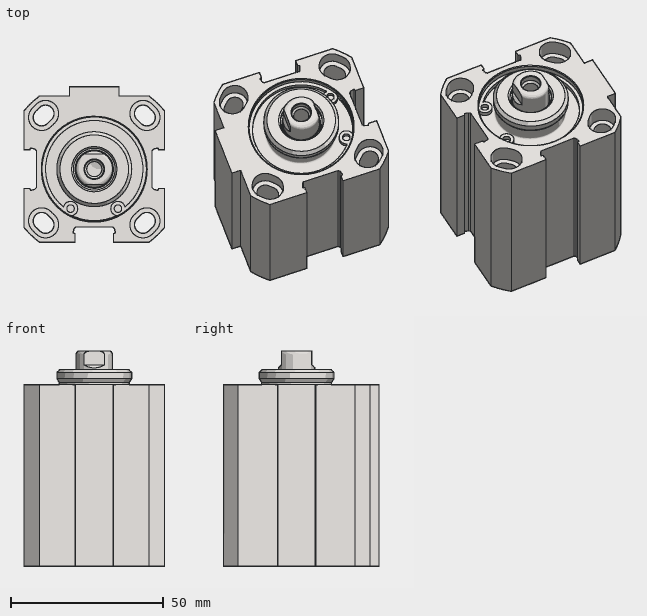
import cadquery as cq
import math


total_height = 70.5
housing_height = 59.4

housing_width = 46.0
half_width = housing_width / 2
half_depth = 24.0
corner_radius = 29.9
tab_width = 16.3
tab_reach = 27.0

slot_half_width = 6.3
slot_floor_half_width = 6.05
side_slot_depth = 4.0
front_slot_depth = 5.0
undercut_peak_half_width = 6.9
undercut_corner_half_width = 6.55
lip_above_floor = 2.1
undercut_peak_above_floor = 1.8
undercut_corner_above_floor = 0.5

mount_x = 16.6
mount_y = 17.55
mount_centre_distance = 1.75
mount_hole_diameter = 5.5
mount_counterbore_diameter = 8.6
mount_counterbore_depth = 5.8

recess_diameter = 34.1
recess_chamfer = 0.3
ring_diameter = 35.8
ring_inner_diameter = 31.9
ring_thickness = 1.5
ring_top_z = housing_height - 2.0
ring_bottom_z = ring_top_z - ring_thickness
ear_diameter = 4.7
ear_hole_diameter = 2.5
ear_x = 7.75
ear_y = -12.9

flange_diameter = 33.7
flange_thickness = 7.05
flange_bottom_z = ring_bottom_z - flange_thickness
neck_diameter = 23.0
neck_fillet = 0.5
neck_top_z = housing_height + 0.7
rim_diameter = 24.5
rim_lower_z = housing_height + 2.0
rim_top_z = housing_height + 5.0
rim_chamfer = 1.05
collar_bore_chamfer = 0.55
collar_bore_steps = [(13.7, 1.75), (12.55, 2.5)]

rod_diameter = 12.0
rod_fillet = 1.3
flats_width = 9.95
flats_length = 4.6
rod_mouth_chamfer = 0.2
rod_counterbore_diameter = 6.3
rod_counterbore_depth = 2.1
rod_drill_diameter = 4.9
rod_drill_depth = 14.1
drill_point_half_angle = 80.0


def cylinder(diameter, bottom, top):
    """Cylinder on the main axis between two heights."""
    return cq.Workplane("XY").workplane(offset=bottom).circle(diameter / 2).extrude(top - bottom)


def countersink(diameter, chamfer, top):
    """45 degree cone cutter that chamfers the mouth of a round hole at height top."""
    inner_r = diameter / 2
    points = [(0, top), (inner_r + chamfer, top), (inner_r, top - chamfer), (0, top - chamfer)]
    return cq.Workplane("XZ").polyline(points).close().revolve(360, (0, 0, 0), (0, 1, 0))


def housing_block():
    """Prism whose four corners follow one large circle, plus the tab on the +Y side."""
    block = cq.Workplane("XY").rect(housing_width, 2 * half_depth).extrude(housing_height)
    block = block.intersect(cylinder(2 * corner_radius, 0, housing_height))
    tab = cq.Workplane("XY").center(0, tab_reach / 2).rect(tab_width, tab_reach).extrude(housing_height)
    return block.union(tab)


def sensor_slot(side_distance, depth, angle):
    """Full-height slot cutter; at angle 0 it opens to -Y at side_distance from the axis."""
    half_profile = [
        (slot_half_width, -depth),
        (slot_half_width, -lip_above_floor),
        (undercut_peak_half_width, -undercut_peak_above_floor),
        (undercut_corner_half_width, -undercut_corner_above_floor),
        (slot_floor_half_width, 0),
    ]
    floor_y = depth - side_distance
    right = [(x, floor_y + y) for x, y in half_profile]
    left = [(-x, y) for x, y in reversed(right)]
    slot = cq.Workplane("XY").polyline(right + left).close().extrude(housing_height)
    return slot.rotate((0, 0, 0), (0, 0, 1), angle)


def mounting_slot(side_x, side_y):
    """Counterbored slot cutter in one corner, long across that corner's diagonal."""
    angle = -45 * side_x * side_y

    def slot(diameter, bottom):
        plane = cq.Workplane("XY").workplane(offset=bottom).center(side_x * mount_x, side_y * mount_y)
        return plane.slot2D(mount_centre_distance + diameter, diameter, angle).extrude(housing_height - bottom)

    counterbore = slot(mount_counterbore_diameter, housing_height - mount_counterbore_depth)
    return slot(mount_hole_diameter, 0).union(counterbore)


def make_housing():
    housing = housing_block()
    housing = housing.cut(sensor_slot(half_depth, front_slot_depth, 0))
    for angle in (-90, 90):
        housing = housing.cut(sensor_slot(half_width, side_slot_depth, angle))
    for side_x in (-1, 1):
        for side_y in (-1, 1):
            housing = housing.cut(mounting_slot(side_x, side_y))
    recess = cylinder(recess_diameter, flange_bottom_z, housing_height)
    mouth = countersink(recess_diameter, recess_chamfer, housing_height)
    ring_groove = cylinder(ring_diameter, ring_bottom_z, ring_top_z)
    return housing.cut(recess).cut(mouth).cut(ring_groove)


def make_retaining_ring():
    """Open ring whose two ends are round ears with plier holes."""
    plane = cq.Workplane("XY").workplane(offset=ring_bottom_z)
    ring = plane.circle(ring_diameter / 2).circle(ring_inner_diameter / 2).extrude(ring_thickness)
    gap_scale = ring_diameter / math.hypot(ear_x, ear_y)
    gap_points = [(0, 0), (-ear_x * gap_scale, ear_y * gap_scale), (ear_x * gap_scale, ear_y * gap_scale)]
    ring = ring.cut(plane.polyline(gap_points).close().extrude(ring_thickness))
    ear_points = [(-ear_x, ear_y), (ear_x, ear_y)]
    ears = plane.pushPoints(ear_points).circle(ear_diameter / 2).extrude(ring_thickness)
    ears = ears.intersect(cylinder(ring_diameter, ring_bottom_z, ring_top_z))
    ear_holes = plane.pushPoints(ear_points).circle(ear_hole_diameter / 2).extrude(ring_thickness)
    return ring.union(ears).cut(ear_holes)


def collar_blank():
    """Turned outside of the collar: flange below the ring, filleted neck and chamfered rim."""
    rim_r = rim_diameter / 2
    neck_r = neck_diameter / 2
    flange_r = flange_diameter / 2
    fillet_inset = neck_fillet * (1 - math.sqrt(0.5))
    fillet_middle = (neck_r + fillet_inset, ring_bottom_z + fillet_inset)
    profile = (
        cq.Workplane("XZ")
        .moveTo(0, flange_bottom_z)
        .lineTo(flange_r, flange_bottom_z)
        .lineTo(flange_r, ring_bottom_z)
        .lineTo(neck_r + neck_fillet, ring_bottom_z)
        .threePointArc(fillet_middle, (neck_r, ring_bottom_z + neck_fillet))
        .lineTo(neck_r, neck_top_z)
        .lineTo(rim_r, rim_lower_z)
        .lineTo(rim_r, rim_top_z - rim_chamfer)
        .lineTo(rim_r - rim_chamfer, rim_top_z)
        .lineTo(0, rim_top_z)
        .close()
    )
    return profile.revolve(360, (0, 0, 0), (0, 1, 0))


def make_collar():
    """Collar with a countersunk bore that steps down to the rod."""
    collar = collar_blank().cut(cylinder(rod_diameter, flange_bottom_z, rim_top_z))
    for diameter, depth in collar_bore_steps:
        collar = collar.cut(cylinder(diameter, rim_top_z - depth, rim_top_z))
    mouth_diameter = collar_bore_steps[0][0]
    return collar.cut(countersink(mouth_diameter, collar_bore_chamfer, rim_top_z))


def rod_hole():
    """Chamfered and counterbored drill hole from the rod end, with conical transitions."""
    wide_r = rod_counterbore_diameter / 2
    drill_r = rod_drill_diameter / 2
    wide_bottom_z = total_height - rod_counterbore_depth
    drill_bottom_z = total_height - rod_drill_depth
    point_length = drill_r / math.tan(math.radians(drill_point_half_angle))
    points = [
        (0, total_height),
        (wide_r + rod_mouth_chamfer, total_height),
        (wide_r, total_height - rod_mouth_chamfer),
        (wide_r, wide_bottom_z),
        (drill_r, wide_bottom_z - (wide_r - drill_r)),
        (drill_r, drill_bottom_z),
        (0, drill_bottom_z - point_length),
    ]
    return cq.Workplane("XZ").polyline(points).close().revolve(360, (0, 0, 0), (0, 1, 0))


def wrench_flat():
    """Cutter for the -Y wrench flat, which runs out through a 45 degree shoulder."""
    flat_y = -flats_width / 2
    outer_y = -rod_diameter
    shoulder_z = total_height - flats_length
    points = [
        (flat_y, total_height),
        (flat_y, shoulder_z),
        (outer_y, shoulder_z - (flat_y - outer_y)),
        (outer_y, total_height),
    ]
    return cq.Workplane("YZ").polyline(points).close().extrude(rod_diameter / 2, both=True)


def make_rod():
    rod = cylinder(rod_diameter, flange_bottom_z, total_height).faces(">Z").edges().fillet(rod_fillet)
    flat = wrench_flat()
    return rod.cut(flat).cut(flat.mirror("XZ")).cut(rod_hole())


housing = make_housing()
retaining_ring = make_retaining_ring()
collar = make_collar()
rod = make_rod()

result = cq.Compound.makeCompound([housing.val(), retaining_ring.val(), collar.val(), rod.val()])